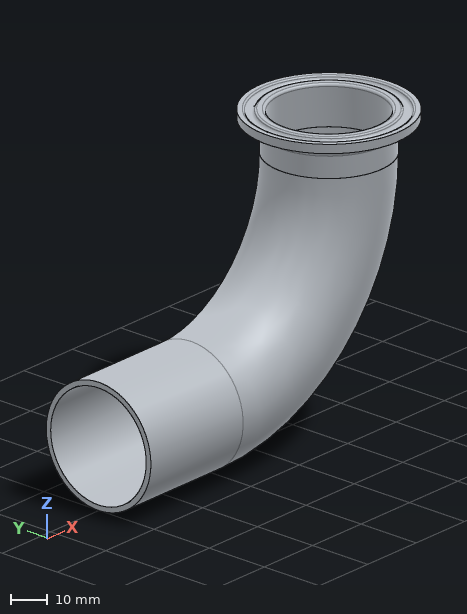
import cadquery as cq

overall_length = 120.5
tube_outer_radius = 19.0
wall = 1.7
tube_inner_radius = tube_outer_radius - wall
bend_radius = 57.1

ferrule_height = 12.8
flange_diameter = 50.5
flange_radius = flange_diameter / 2
rim_height = 2.8
flare_drop = 2.3
neck_fillet = 1.6
bore_edge_fillet = 0.8

groove_radius = 21.7
groove_half_width = 1.5
groove_depth = 1.5
groove_lip_fillet = 0.6

ferrule_axis_x = overall_length - flange_radius
leg_length = ferrule_axis_x - bend_radius


def swept_rod(radius):
    """Round rod following the centre line of the tube."""
    leg = cq.Workplane("YZ").circle(radius).extrude(leg_length)
    bend = (
        cq.Workplane("YZ", origin=(leg_length, 0, 0))
        .circle(radius)
        .revolve(90, (1.2, bend_radius), (-1.2, bend_radius))
    )
    return leg.union(bend)


def make_elbow_tube():
    return swept_rod(tube_outer_radius).cut(swept_rod(tube_inner_radius))


def make_gasket_groove():
    """Ring with a rounded bottom, to be cut from the flange face."""
    return (
        cq.Workplane("XZ")
        .moveTo(groove_radius - groove_half_width, ferrule_height)
        .threePointArc(
            (groove_radius, ferrule_height - groove_depth),
            (groove_radius + groove_half_width, ferrule_height),
        )
        .close()
        .revolve(360, (0, 0), (0, 1))
    )


def make_ferrule():
    rim_bottom = ferrule_height - rim_height
    flare_bottom = rim_bottom - flare_drop
    body = (
        cq.Workplane("XZ")
        .moveTo(tube_inner_radius, 0)
        .lineTo(tube_outer_radius, 0)
        .lineTo(tube_outer_radius, flare_bottom)
        .lineTo(flange_radius, rim_bottom)
        .lineTo(flange_radius, ferrule_height)
        .lineTo(tube_inner_radius, ferrule_height)
        .close()
        .revolve(360, (0, 0), (0, 1))
    )
    neck_corner = cq.selectors.RadiusNthSelector(1)
    body = body.edges("%CIRCLE").edges(neck_corner).edges(">Z").fillet(neck_fillet)
    bore_rim = cq.selectors.RadiusNthSelector(0)
    body = body.faces(">Z").edges("%CIRCLE").edges(bore_rim).fillet(bore_edge_fillet)

    body = body.cut(make_gasket_groove())
    face_edges = body.faces("|Z").faces(">Z").edges("%CIRCLE")
    inner_lip = face_edges.edges(cq.selectors.RadiusNthSelector(1))
    outer_lip = face_edges.edges(cq.selectors.RadiusNthSelector(2))
    body = body.newObject(inner_lip.vals() + outer_lip.vals()).fillet(groove_lip_fillet)
    return body.translate((ferrule_axis_x, 0, bend_radius))


elbow_tube = make_elbow_tube()
ferrule = make_ferrule()

result = cq.Compound.makeCompound([elbow_tube.val(), ferrule.val()])